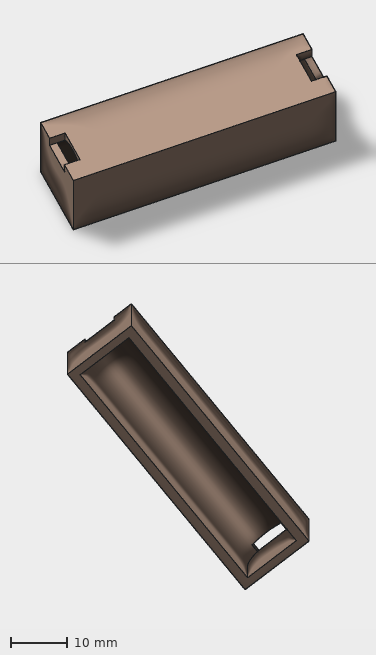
import cadquery as cq

width = 14.5
length = 50.85
height = 13.9

end_wall = 1.45
side_wall = 1.75
roof_thickness = 0.9
channel_radius = width / 2 - side_wall
channel_length = length - 2 * end_wall
arch_top = height - roof_thickness
arch_spring = arch_top - channel_radius

notch_width = 6.6
notch_length = 3.0
notch_depth = 2.0


def make_channel():
    """Straight-sided channel with a half-round roof, running along Y."""
    return (
        cq.Workplane("XZ")
        .moveTo(-channel_radius, 0)
        .lineTo(-channel_radius, arch_spring)
        .threePointArc((0, arch_top), (channel_radius, arch_spring))
        .lineTo(channel_radius, 0)
        .close()
        .extrude(channel_length / 2, both=True)
    )


def make_notch(end):
    """Rectangular notch at the end given by its sign along Y."""
    center_y = end * (length - notch_length) / 2
    return (
        cq.Workplane("XY", origin=(0, center_y, height - notch_depth))
        .rect(notch_width, notch_length)
        .extrude(notch_depth)
    )


result = cq.Workplane("XY").rect(width, length).extrude(height)
result = result.cut(make_channel())
for end in (-1, 1):
    result = result.cut(make_notch(end))